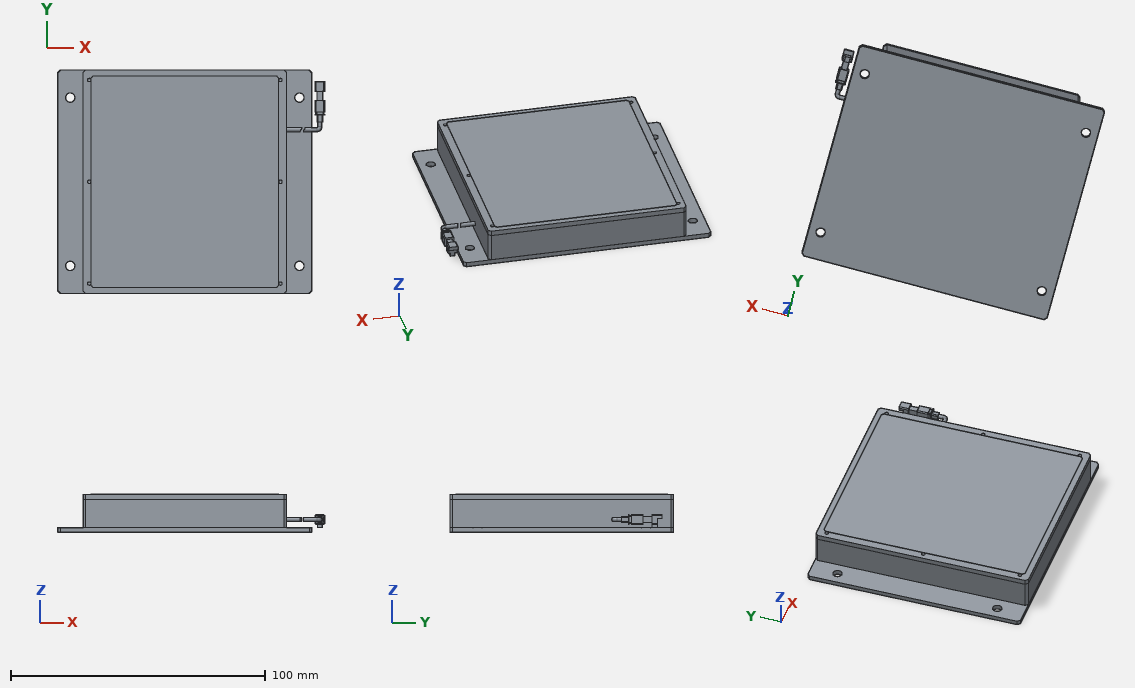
import cadquery as cq

overall_length = 105.0
plate_length = 100.0
plate_width = 88.0
plate_thickness = 2.0
corner_chamfer = 1.0
underside_chamfer = 0.2
mount_hole_diameter = 3.6
mount_hole_spacing_x = 90.1
mount_hole_spacing_y = 66.2

housing_length = 80.0
housing_height = 11.0
lid_thickness = 2.0
screw_hole_diameter = 1.4
screw_hole_depth = screw_hole_diameter / 2
screw_hole_x = 37.6
screw_hole_pitch_y = 40.0

panel_length = 73.7
panel_width = 83.3
panel_thickness = 0.2
panel_corner_chamfer = 0.8

cable_diameter = 1.7
cable_radius = cable_diameter / 2
cable_y = 20.5
cable_z = 5.1
bend_radius = 1.2
break_x = 46.3
break_gap = 1.3
break_step = 0.6
break_bulge = 0.1

connector_size = 3.9
connector_chamfer = 0.4
sleeve_size = 2.4
link_size = 2.3
taper_size = 3.3
sleeve_start_y = 23.5
flange_start_y = 26.1
flange_end_y = 26.5
socket_start_y = 27.4
socket_end_y = 31.9
plug_start_y = 35.5
plug_end_y = 39.4
latch_width = 1.9
latch_drop = 1.3
plug_lip_length = 1.8
plug_lip_thickness = 1.5

housing_top = plate_thickness + housing_height
lid_top = housing_top + lid_thickness
connector_x = overall_length - plate_length / 2 - connector_size / 2


def bevelled_slab(length, width, thickness, chamfer, bottom):
    """Rectangular slab with chamfered vertical edges, centred on the Z axis."""
    slab = cq.Workplane("XY").workplane(offset=bottom).rect(length, width).extrude(thickness)
    return slab.edges("|Z").chamfer(chamfer)


def make_base_plate():
    """Plate with a bevelled underside rim and a mounting hole near each corner."""
    plate = bevelled_slab(plate_length, plate_width, plate_thickness, corner_chamfer, 0)
    plate = plate.faces("<Z").chamfer(underside_chamfer)
    holes = (
        cq.Workplane("XY")
        .rect(mount_hole_spacing_x, mount_hole_spacing_y, forConstruction=True)
        .vertices()
        .circle(mount_hole_diameter / 2)
        .extrude(plate_thickness)
    )
    return plate.cut(holes)


def break_block(square_x, broken_x):
    """Block around the cable: flat at square_x, with an S-shaped vertical face at broken_x."""
    front_x = broken_x - break_step / 2
    back_x = broken_x + break_step / 2
    front_bulge = (broken_x - break_step / 4 - break_bulge, cable_y - cable_radius / 2)
    back_bulge = (broken_x + break_step / 4 + break_bulge, cable_y + cable_radius / 2)
    return (
        cq.Workplane("XY")
        .moveTo(square_x, cable_y - cable_radius)
        .lineTo(front_x, cable_y - cable_radius)
        .threePointArc(front_bulge, (broken_x, cable_y))
        .threePointArc(back_bulge, (back_x, cable_y + cable_radius))
        .lineTo(square_x, cable_y + cable_radius)
        .close()
        .extrude(cable_z + cable_diameter)
    )


def straight_cable(start_x, end_x):
    """Round cable along X at the cable height."""
    section = cq.Workplane("YZ", origin=(start_x, cable_y, cable_z)).circle(cable_radius)
    return section.extrude(end_x - start_x)


def make_cable_stub():
    """Length of cable from the housing wall up to the break."""
    wall_x = housing_length / 2
    cable = straight_cable(wall_x, break_x)
    return cable.intersect(break_block(wall_x, break_x - break_gap / 2))


def make_housing():
    """Block between plate and lid, with the cable stub on its +X wall."""
    block = bevelled_slab(housing_length, plate_width, housing_height, corner_chamfer, plate_thickness)
    return block.union(make_cable_stub())


def make_lid():
    """Cover with a row of conical screw holes along each side."""
    lid = bevelled_slab(housing_length, plate_width, lid_thickness, corner_chamfer, housing_top)
    cone = cq.Solid.makeCone(
        screw_hole_diameter / 2, 0, screw_hole_depth, cq.Vector(0, 0, 0), cq.Vector(0, 0, -1)
    )
    holes = (
        cq.Workplane("XY")
        .workplane(offset=lid_top)
        .rarray(2 * screw_hole_x, screw_hole_pitch_y, 2, 3)
        .eachpoint(lambda place: cone.moved(place))
    )
    return lid.cut(holes)


def make_panel():
    """Thin light-emitting sheet lying on the lid."""
    return bevelled_slab(panel_length, panel_width, panel_thickness, panel_corner_chamfer, lid_top)


def connector_prism(size, start_y, end_y, chamfer):
    """Square prism along Y on the connector axis, its long edges chamfered if asked."""
    prism = cq.Workplane("XY").box(size, end_y - start_y, size)
    if chamfer > 0:
        prism = prism.edges("|Y").chamfer(chamfer)
    return prism.translate((connector_x, (start_y + end_y) / 2, cable_z))


def make_plug():
    """End block of the connector: latch underneath, upper lip overhanging the free end."""
    block = connector_prism(connector_size, plug_start_y, plug_end_y, connector_chamfer)
    block_bottom = cable_z - connector_size / 2
    recess_start_y = plug_end_y - plug_lip_length
    recess = cq.Workplane("XY").box(
        connector_size, plug_lip_length, connector_size - plug_lip_thickness, centered=(True, False, False)
    )
    latch = cq.Workplane("XY").box(
        latch_width, recess_start_y - plug_start_y, latch_drop, centered=(True, False, False)
    )
    block = block.cut(recess.translate((connector_x, recess_start_y, block_bottom)))
    return block.union(latch.translate((connector_x, plug_start_y, block_bottom - latch_drop)))


def make_cable_with_connector():
    """Cable beyond the break, its bend, and the connector on its end."""
    bend_start_x = connector_x - bend_radius
    bend_end_y = cable_y + bend_radius
    run = straight_cable(break_x, bend_start_x)
    run = run.intersect(break_block(bend_start_x, break_x + break_gap / 2))
    bend = (
        cq.Workplane("YZ", origin=(bend_start_x, cable_y, cable_z))
        .circle(cable_radius)
        .revolve(90, (bend_radius, 0, 0), (bend_radius, 1, 0))
    )
    end = (
        cq.Workplane("XZ", origin=(connector_x, bend_end_y, cable_z))
        .circle(cable_radius)
        .extrude(bend_end_y - sleeve_start_y)
    )
    body = run.union(bend).union(end)
    sections = [
        (sleeve_size, sleeve_start_y, flange_start_y, connector_chamfer),
        (connector_size, flange_start_y, flange_end_y, connector_chamfer),
        (taper_size, flange_end_y, socket_start_y, connector_chamfer),
        (connector_size, socket_start_y, socket_end_y, connector_chamfer),
        (link_size, socket_end_y, plug_start_y, 0),
    ]
    for size, start_y, end_y, chamfer in sections:
        body = body.union(connector_prism(size, start_y, end_y, chamfer))
    return body.union(make_plug())


base_plate = make_base_plate()
housing = make_housing()
lid = make_lid()
panel = make_panel()
cable_with_connector = make_cable_with_connector()

result = cq.Compound.makeCompound(
    [
        base_plate.val(),
        housing.val(),
        lid.val(),
        panel.val(),
        cable_with_connector.val(),
    ]
)